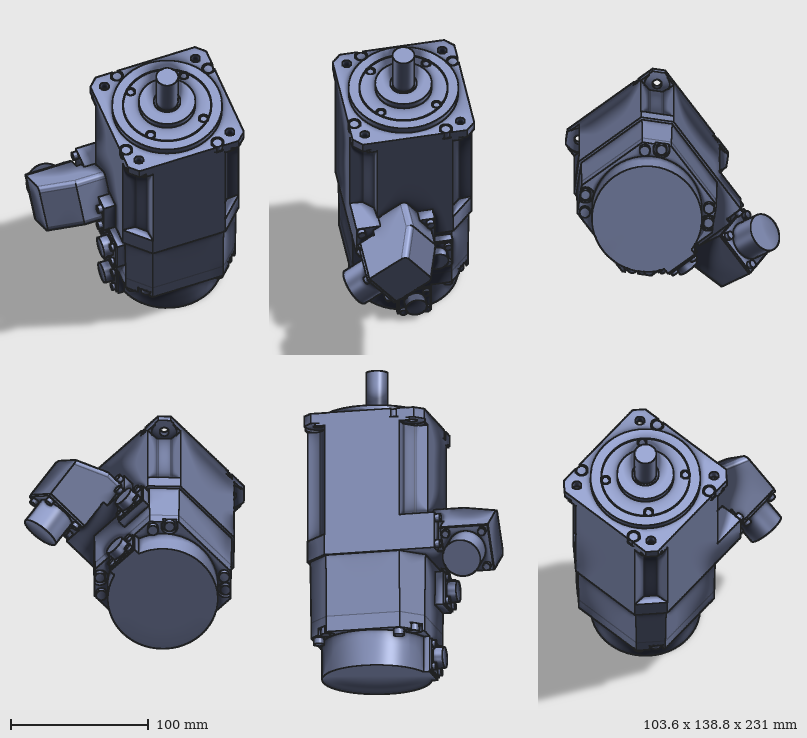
import cadquery as cq

EMBED = 1.2
OVERCUT = 2.3

CAP_TOP = 26.5
END_PLATE_TOP = 38.3
BRAKE_TOP = 84.0
CORNER_BLOCK_TOP = 99.5
TERMINAL_TOP = 110.6
FLUTE_TOP = 181.5
RELIEF_TOP = 183.6
FLANGE_TOP = 191.0
PILOT_TOP = 196.1
BOSS_TOP = 201.0
SHAFT_TOP = 231.0

CAP_RADIUS = 40.0
PILOT_RADIUS = 40.0
BOSS_RADIUS = 20.5
SHAFT_DIAMETER = 16.0
SEAL_RADIUS = 9.7
SEAL_DEPTH = 0.5
COVER_RADIUS = 32.3
COVER_GROOVE = 0.5

BODY_HALF = 45.0
FLANGE_CHAMFER = 6.5
CORNER_CHAMFER = 16.9
MOUNT_OFFSET = 35.3
MOUNT_DIAMETER = 6.7
RELIEF_RADIUS = 9.2
FLUTE_MOUTH = 28.0
FLUTE_INNER = 28.6
FLUTE_DEPTH = 9.5
FLUTE_FILLET = 1.6

BRAKE_HALF_BOTTOM = 42.5
BRAKE_HALF_TOP = 43.2
BRAKE_FLAT_HALF = 27.5

FLANGE_SCREW = (23.5, 41.0)
FLANGE_POCKET_DIAMETER = 9.2
FLANGE_POCKET_DEPTH = 6.2
FLANGE_HEAD_DIAMETER = 7.5
HEAD_RECESS = 0.5
COVER_SCREW = (20.5, 20.5)
COVER_POCKET_DIAMETER = 7.0
COVER_POCKET_DEPTH = 1.8
COVER_HEAD_DIAMETER = 5.5
PLATE_SCREW = (35.0, 29.5)
PLATE_POCKET_DIAMETER = 12.0
PLATE_POCKET_DEPTH = 4.9
PLATE_HEAD_DIAMETER = 7.5
PLATE_HEAD_STANDOUT = 0.5
CAP_SCREW = (25.6, 37.2)
CAP_HEAD_DIAMETER = 7.6
CAP_HEAD_HEIGHT = 4.6

CONNECTOR_DIAMETER = 15.5
CONNECTOR_LENGTH = 7.0
CONNECTOR_PLATE = 23.3
CONNECTOR_PLATE_THICKNESS = 1.5
CONNECTOR_SCREW_SPACING = 17.0
CONNECTOR_SCREW_DIAMETER = 5.3
CONNECTOR_SCREW_HEIGHT = 2.5
PAD_WIDTH = 24.7
CAP_CONNECTOR_Z = 13.5
BRAKE_CONNECTOR_X = 14.8
BRAKE_CONNECTOR_Z = 66.8
BRAKE_PAD_FACE = 49.0

TERMINAL_WIDTH = 58.0
TERMINAL_FACE = 54.0
TERMINAL_SCREW_INSET = 3.5
TERMINAL_SCREW_DIAMETER = 5.8
TERMINAL_SCREW_HEIGHT = 3.7

ELBOW_ANGLE = 35
ELBOW_ORIGIN = (-33.0, 0, 85.2)
ELBOW_LENGTH = 43.0
ELBOW_FACE_LENGTH = 32.8
ELBOW_WIDTH = 35.0
ELBOW_BACK = 45.5
ELBOW_OUTLET_BACK = 58.0
ELBOW_SLOPE_START = 68.4
ELBOW_FRONT = 93.8
ELBOW_FOOT_X = -32.8
ELBOW_FILLET = 4.0
OUTLET_PLATE_THICKNESS = 1.8
OUTLET_PLATE_INSET = 0.2
OUTLET_DIAMETER = 28.0
OUTLET_LENGTH = 21.5
OUTLET_SCREW_SPACING = 27.0
OUTLET_SCREW_DIAMETER = 5.5
OUTLET_SCREW_HEIGHT = 3.5

QUARTER_TURNS = (0, 90, 180, 270)
Z_AXIS = ((0, 0, 0), (0, 0, 1))


def cylinder(radius, bottom, top):
    return cq.Workplane("XY").workplane(offset=bottom).circle(radius).extrude(top - bottom)


def turned(solid, angle):
    return solid.rotate(*Z_AXIS, angle)


def box_between(low, high):
    size = [b - a for a, b in zip(low, high)]
    return cq.Workplane("XY").box(*size, centered=False).translate(low)


def octagon(half, flat_half):
    """Corner points of a square with cut corners, flat_half being half of each remaining side."""
    corner = [(half, -flat_half), (half, flat_half)]
    points = []
    for _ in QUARTER_TURNS:
        for x, y in corner:
            points.append((x, y))
        corner = [(-y, x) for x, y in corner]
    return points


def octagon_prism(half, flat_half, bottom, top):
    outline = octagon(half, flat_half)
    return cq.Workplane("XY").workplane(offset=bottom).polyline(outline).close().extrude(top - bottom)


def screw_cylinders(offset, diameter, bottom, top):
    """Four cylinders, one on each side, for screw heads or for the pockets around them."""
    head = cylinder(diameter / 2, bottom, top).translate((offset[0], -offset[1], 0))
    heads = cq.Workplane("XY")
    for angle in QUARTER_TURNS:
        heads = heads.add(turned(head, angle))
    return heads.combine()


def sunk_screws(solid, offset, pocket_diameter, head_diameter, face, depth):
    """Cut screw pockets below a face and leave a recessed head in each."""
    floor = face - depth
    solid = solid.cut(screw_cylinders(offset, pocket_diameter, floor, face))
    return solid.union(screw_cylinders(offset, head_diameter, floor - EMBED, face - HEAD_RECESS))


def flute_cutter():
    """Corner flute at (+X, +Y): two slightly flared walls joined by a diagonal face."""
    bottom = CORNER_BLOCK_TOP
    outside = BODY_HALF + OVERCUT
    wall_end = BODY_HALF - FLUTE_DEPTH
    points = [
        (outside, FLUTE_MOUTH),
        (BODY_HALF, FLUTE_MOUTH),
        (wall_end, FLUTE_INNER),
        (FLUTE_INNER, wall_end),
        (FLUTE_MOUTH, BODY_HALF),
        (FLUTE_MOUTH, outside),
        (outside, outside),
    ]
    flute = cq.Workplane("XY").workplane(offset=bottom).polyline(points).close().extrude(FLUTE_TOP - bottom)
    inner_limit = (wall_end + BODY_HALF) / 2
    inner_edges = cq.selectors.BoxSelector((0, 0, bottom), (inner_limit, inner_limit, FLUTE_TOP))
    return flute.edges("|Z").edges(inner_edges).fillet(FLUTE_FILLET)


def corner_relief():
    """Shallow clearance under a flange corner, rounded around the mounting hole."""
    around_hole = cylinder(RELIEF_RADIUS, FLUTE_TOP, RELIEF_TOP).translate((MOUNT_OFFSET, MOUNT_OFFSET, 0))
    outward = box_between(
        (MOUNT_OFFSET, MOUNT_OFFSET, FLUTE_TOP),
        (BODY_HALF + OVERCUT, BODY_HALF + OVERCUT, RELIEF_TOP),
    )
    return around_hole.union(outward)


def make_body():
    body = octagon_prism(BODY_HALF, BODY_HALF - FLANGE_CHAMFER, CORNER_BLOCK_TOP, FLANGE_TOP)
    blocks = octagon_prism(BODY_HALF, BODY_HALF - CORNER_CHAMFER, BRAKE_TOP, CORNER_BLOCK_TOP)
    body = body.union(blocks)
    mount_hole = cylinder(MOUNT_DIAMETER / 2, FLUTE_TOP, FLANGE_TOP)
    mount_hole = mount_hole.translate((MOUNT_OFFSET, MOUNT_OFFSET, 0))
    for angle in QUARTER_TURNS:
        for cutter in (flute_cutter(), corner_relief(), mount_hole):
            body = body.cut(turned(cutter, angle))
    return sunk_screws(
        body, FLANGE_SCREW, FLANGE_POCKET_DIAMETER, FLANGE_HEAD_DIAMETER, FLANGE_TOP, FLANGE_POCKET_DEPTH
    )


def make_shaft_end():
    pilot = cylinder(PILOT_RADIUS, FLANGE_TOP - EMBED, PILOT_TOP)
    groove = cylinder(COVER_RADIUS, PILOT_TOP - COVER_GROOVE, PILOT_TOP)
    groove = groove.cut(cylinder(COVER_RADIUS - COVER_GROOVE, PILOT_TOP - COVER_GROOVE, PILOT_TOP))
    pilot = pilot.cut(groove)
    pilot = sunk_screws(
        pilot, COVER_SCREW, COVER_POCKET_DIAMETER, COVER_HEAD_DIAMETER, PILOT_TOP, COVER_POCKET_DEPTH
    )
    boss = cylinder(BOSS_RADIUS, PILOT_TOP - EMBED, BOSS_TOP)
    boss = boss.cut(cylinder(SEAL_RADIUS, BOSS_TOP - SEAL_DEPTH, BOSS_TOP))
    return pilot.union(boss).union(cylinder(SHAFT_DIAMETER / 2, PILOT_TOP, SHAFT_TOP))


def make_brake_housing():
    housing = (
        cq.Workplane("XY")
        .workplane(offset=END_PLATE_TOP)
        .polyline(octagon(BRAKE_HALF_BOTTOM, BRAKE_FLAT_HALF))
        .close()
        .workplane(offset=BRAKE_TOP - END_PLATE_TOP)
        .polyline(octagon(BRAKE_HALF_TOP, BRAKE_FLAT_HALF))
        .close()
        .loft(ruled=True)
    )
    plate = octagon_prism(BRAKE_HALF_BOTTOM, BRAKE_FLAT_HALF, CAP_TOP, END_PLATE_TOP)
    pocket_top = CAP_TOP + PLATE_POCKET_DEPTH
    plate = plate.cut(screw_cylinders(PLATE_SCREW, PLATE_POCKET_DIAMETER, CAP_TOP, pocket_top))
    head_bottom = CAP_TOP - PLATE_HEAD_STANDOUT
    plate = plate.union(screw_cylinders(PLATE_SCREW, PLATE_HEAD_DIAMETER, head_bottom, pocket_top + EMBED))
    cap_heads = screw_cylinders(CAP_SCREW, CAP_HEAD_DIAMETER, CAP_TOP - CAP_HEAD_HEIGHT, CAP_TOP + EMBED)
    return housing.union(plate).union(cap_heads)


def front_plane(x, z, distance):
    """Sketch plane facing -Y at a distance in front of the shaft axis."""
    return cq.Workplane("XZ", origin=(x, -distance, z))


def make_connector(x, z, face):
    """Square plate, four screw heads and a plug standing on a face towards -Y."""
    plate = front_plane(x, z, face - EMBED).rect(CONNECTOR_PLATE, CONNECTOR_PLATE)
    plate = plate.extrude(CONNECTOR_PLATE_THICKNESS + EMBED)
    plate_face = face + CONNECTOR_PLATE_THICKNESS
    plug = front_plane(x, z, plate_face).circle(CONNECTOR_DIAMETER / 2).extrude(CONNECTOR_LENGTH)
    heads = (
        front_plane(x, z, plate_face)
        .rect(CONNECTOR_SCREW_SPACING, CONNECTOR_SCREW_SPACING, forConstruction=True)
        .vertices()
        .circle(CONNECTOR_SCREW_DIAMETER / 2)
        .extrude(CONNECTOR_SCREW_HEIGHT)
    )
    return plate.union(plug).union(heads)


def make_encoder_cap():
    half_pad = PAD_WIDTH / 2
    pad = box_between((-half_pad, -BRAKE_HALF_BOTTOM, 0), (half_pad, 0, CAP_TOP))
    cap = cylinder(CAP_RADIUS, 0, CAP_TOP).union(pad)
    return cap.union(make_connector(0, CAP_CONNECTOR_Z, BRAKE_HALF_BOTTOM))


def make_brake_connector():
    inside = BRAKE_HALF_BOTTOM - EMBED
    pad = front_plane(BRAKE_CONNECTOR_X, BRAKE_CONNECTOR_Z, inside).rect(PAD_WIDTH, PAD_WIDTH)
    pad = pad.extrude(BRAKE_PAD_FACE - inside)
    return pad.union(make_connector(BRAKE_CONNECTOR_X, BRAKE_CONNECTOR_Z, BRAKE_PAD_FACE))


def make_terminal_block():
    left = -BODY_HALF
    right = left + TERMINAL_WIDTH
    block = box_between((left, -TERMINAL_FACE, BRAKE_TOP), (right, -FLUTE_MOUTH, TERMINAL_TOP))
    height = TERMINAL_TOP - BRAKE_TOP
    screw_span_x = TERMINAL_WIDTH - 2 * TERMINAL_SCREW_INSET
    screw_span_z = height - 2 * TERMINAL_SCREW_INSET
    heads = (
        front_plane((left + right) / 2, BRAKE_TOP + height / 2, TERMINAL_FACE - EMBED)
        .rect(screw_span_x, screw_span_z, forConstruction=True)
        .vertices()
        .circle(TERMINAL_SCREW_DIAMETER / 2)
        .extrude(TERMINAL_SCREW_HEIGHT + EMBED)
    )
    return block.union(heads)


def tilted(solid):
    return solid.rotate((0, 0, 0), (0, 1, 0), -ELBOW_ANGLE).translate(ELBOW_ORIGIN)


def make_elbow():
    side = [
        (0, -ELBOW_BACK),
        (0, -ELBOW_FRONT),
        (ELBOW_FACE_LENGTH, -ELBOW_FRONT),
        (ELBOW_LENGTH, -ELBOW_SLOPE_START),
        (ELBOW_LENGTH, -ELBOW_BACK),
    ]
    housing = cq.Workplane("XY").polyline(side).close().extrude(ELBOW_WIDTH / 2, both=True)
    end_edges = housing.faces(">>X[-1] or >>X[-2]").edges("not |Z")
    housing = tilted(end_edges.fillet(ELBOW_FILLET))

    reach = 2 * ELBOW_LENGTH
    behind_left = box_between((-BODY_HALF - reach, -ELBOW_OUTLET_BACK, 0), (ELBOW_FOOT_X, 0, SHAFT_TOP))
    behind_below = box_between((-reach, -ELBOW_OUTLET_BACK, 0), (reach, 0, BRAKE_TOP))
    return housing.cut(behind_left).cut(behind_below)


def make_outlet():
    """Flange plate, screw heads and round cable outlet at the low end of the elbow."""
    depth = ELBOW_FRONT - ELBOW_OUTLET_BACK
    middle = -(ELBOW_FRONT + ELBOW_OUTLET_BACK) / 2

    def end_plane(distance):
        return cq.Workplane("YZ", origin=(-distance, middle, 0))

    plate_depth = depth - 2 * OUTLET_PLATE_INSET
    plate_width = ELBOW_WIDTH - 2 * OUTLET_PLATE_INSET
    plate = end_plane(OUTLET_PLATE_THICKNESS).rect(plate_depth, plate_width)
    plate = plate.extrude(OUTLET_PLATE_THICKNESS + EMBED)
    barrel = end_plane(OUTLET_LENGTH).circle(OUTLET_DIAMETER / 2).extrude(OUTLET_LENGTH)
    heads = (
        end_plane(OUTLET_PLATE_THICKNESS + OUTLET_SCREW_HEIGHT)
        .rect(OUTLET_SCREW_SPACING, OUTLET_SCREW_SPACING, forConstruction=True)
        .vertices()
        .circle(OUTLET_SCREW_DIAMETER / 2)
        .extrude(OUTLET_SCREW_HEIGHT + EMBED)
    )
    return tilted(plate.union(barrel).union(heads))


result = make_body()
for piece in (
    make_shaft_end(),
    make_brake_housing(),
    make_encoder_cap(),
    make_brake_connector(),
    make_terminal_block(),
    make_elbow(),
    make_outlet(),
):
    result = result.union(piece)